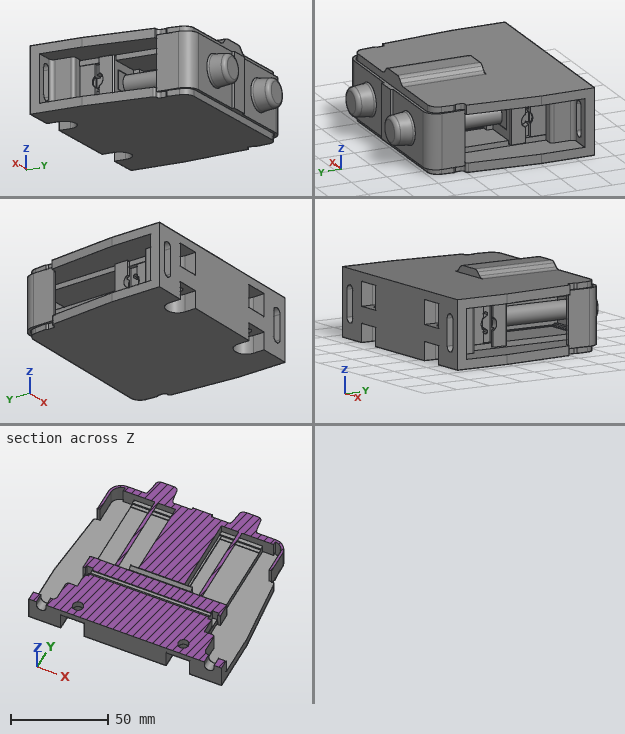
import cadquery as cq
import math

width = 110.0
height = 37.0
mid_z = height / 2
straight_depth = 30.2

front_wall = 5.6
cavity_height = 26.6
cavity_bottom = mid_z - cavity_height / 2
cavity_top = mid_z + cavity_height / 2

cover_front = 71.1
cover_rear = 91.5
cover_half_width = 49.7
cover_wall = 1.6
cover_height = 30.6
cover_bottom = mid_z - cover_height / 2
cover_corner_radius = 7.5
tab_width = 11.2
tab_rear = 92.8

lip_rear = 89.0
lip_corner_radius = 5.7
shoulder_half_width = 51.4
notch_half_width = 48.1
notch_fillet = 1.6
floor_shoulder_fillet = 1.2
catch_half_width = 48.8
catch_front = 75.6
catch_rear = 76.8
taper = (width / 2 - shoulder_half_width) / (cover_front - straight_depth)

rail_top = 41.0
rail_front = 42.1
rail_flat = 11.2
rail_radius = 3.8
rail_slope = math.radians(45)

pocket_spacing = 60.1
pocket_width = 13.3
pocket_radius = pocket_width / 2
upper_pocket_bottom = 19.0
upper_pocket_height = 13.1
lower_pocket_height = 10.1
bolt_hole_diameter = 5.5
slot_spacing = 95.7
slot_width = 5.4
slot_height = 20.0

block_half_width = 42.4
block_rear = 19.0
block_corner_radius = 1.8
block_root_fillet = 2.3

core_half_width = 36.6
core_flange = 3.0
core_gap = 0.7
core_top = cavity_top - core_gap
core_rear = cover_rear - cover_wall
chamber_bottom = cavity_bottom + core_flange
chamber_top = core_top - core_flange
chamber_rear = 87.8
chamber_half_width = 13.2
web_half_width = 34.1
vent_wall_half_width = 17.6
web_rear = 43.9
rear_ledges = [(83.6, 0.3), (85.6, 1.2)]
sill_width = 1.1
sill_height = 0.5
back_half_width = 42.9
plate_rear = 27.8
plate_inset = 0.3

screw_spacing = 47.7
screw_diameter = 10.2
clamp_front = 31.8
clamp_rear = 40.4
clamp_half_width = 39.2
clamp_height = 24.2
clamp_plate = 1.5
clamp_body_front = 33.3
clamp_edge_chamfer = 0.7
wire_hole_floor = 35.2
wire_hole_y = 30.2
wire_hole_diameter = 7.7

knob_rear = 101.8
knob_base_radius = 9.1
knob_lower_radius = 8.7
knob_upper_radius = 7.9
knob_flat_radius = 5.9
knob_skirt_y = 92.6
knob_round_y = 99.2

vent_y = 41.9
vent_width = 3.3
vent_peak = 6.8
gap_window = [
    (clamp_front, 4.2),
    (clamp_front, 5.3),
    (30.5, 5.8),
    (plate_rear, 4.2),
    (plate_rear, 2.9),
    (29.3, 2.4),
]


def box(x0, x1, y0, y1, z0, z1):
    """Axis-aligned block between two opposite corners."""
    return cq.Workplane("XY").box(x1 - x0, y1 - y0, z1 - z0, centered=False).translate((x0, y0, z0))


def wide_box(half_width, y0, y1, z0, z1):
    """Block that is symmetric about the YZ plane."""
    return box(-half_width, half_width, y0, y1, z0, z1)


def both_sides(shape):
    """The shape together with its mirror image across the YZ plane."""
    return shape.union(shape.mirror("YZ"))


def housing():
    catch_taper_end = catch_half_width - taper * (lip_rear - catch_rear)
    half = (
        cq.Workplane("XY")
        .moveTo(0, 0)
        .lineTo(width / 2, 0)
        .lineTo(width / 2, straight_depth)
        .lineTo(shoulder_half_width, cover_front)
        .lineTo(notch_half_width + notch_fillet, cover_front)
        .radiusArc((notch_half_width, cover_front + notch_fillet), notch_fillet)
        .lineTo(notch_half_width, catch_front)
        .lineTo(catch_half_width, catch_rear)
        .lineTo(catch_taper_end, lip_rear)
        .lineTo(0, lip_rear)
        .close()
        .extrude(height)
    )
    rear_corner = cq.selectors.NearestToPointSelector((catch_taper_end, lip_rear, mid_z))
    half = half.edges("|Z").edges(rear_corner).fillet(lip_corner_radius)
    cavity = wide_box(width, front_wall, cover_rear, cavity_bottom, cavity_top)
    shell = both_sides(half).cut(cavity)
    for side in (-1, 1):
        shoulder = (side * shoulder_half_width, cover_front, cavity_bottom / 2)
        shell = shell.edges(cq.selectors.NearestToPointSelector(shoulder)).fillet(floor_shoulder_fillet)
    return shell


def rail():
    bend_x = rail_radius * math.sin(rail_slope)
    bend_z = rail_radius * (1 - math.cos(rail_slope))
    flank_z = rail_top - height - 2 * bend_z
    shoulder_x = rail_flat / 2 + bend_x
    toe_x = shoulder_x + flank_z / math.tan(rail_slope)
    foot_x = toe_x + bend_x
    profile = (
        cq.Workplane("XZ")
        .moveTo(-rail_flat / 2, rail_top)
        .lineTo(rail_flat / 2, rail_top)
        .radiusArc((shoulder_x, rail_top - bend_z), rail_radius)
        .lineTo(toe_x, height + bend_z)
        .radiusArc((foot_x, height), -rail_radius)
        .lineTo(foot_x, cavity_top)
        .lineTo(-foot_x, cavity_top)
        .lineTo(-foot_x, height)
        .radiusArc((-toe_x, height + bend_z), -rail_radius)
        .lineTo(-shoulder_x, rail_top - bend_z)
        .radiusArc((-rail_flat / 2, rail_top), rail_radius)
        .close()
    )
    return profile.extrude(rail_front - lip_rear).translate((0, rail_front, 0))


def cover_shell(half_width, rear, radius):
    """U-shaped cover volume with rounded rear corners."""
    top = cover_bottom + cover_height
    return wide_box(half_width, cover_front, rear, cover_bottom, top).edges("|Z and >Y").fillet(radius)


def cover():
    outer = cover_shell(cover_half_width, cover_rear, cover_corner_radius)
    inner = cover_shell(cover_half_width - cover_wall, core_rear, cover_corner_radius - cover_wall)
    tab = wide_box(tab_width / 2, core_rear, tab_rear, cover_bottom, cover_bottom + cover_height)
    return outer.cut(inner).union(tab)


def pocket_block():
    """Block behind the front wall, rounded at the rear and blended into the wall."""
    block = wide_box(block_half_width, 0, block_rear, cavity_bottom, cavity_top)
    block = block.edges("|Z and >Y").fillet(block_corner_radius)
    root = box(
        block_half_width, block_half_width + block_root_fillet,
        front_wall, front_wall + block_root_fillet, cavity_bottom, cavity_top,
    )
    relief = (
        cq.Workplane("XY")
        .center(block_half_width + block_root_fillet, front_wall + block_root_fillet)
        .circle(block_root_fillet)
        .extrude(height)
    )
    return block.union(both_sides(root.cut(relief)))


def front_openings():
    """Two-level pockets with bolt holes, and the tall slots outside them."""
    x = pocket_spacing / 2

    def pocket(z, tall):
        straight = box(x - pocket_radius, x + pocket_radius, 0, pocket_radius, z, z + tall)
        round_end = cq.Workplane("XY").circle(pocket_radius).extrude(tall).translate((x, pocket_radius, z))
        return straight.union(round_end)

    bolt_hole = (
        cq.Workplane("XY").circle(bolt_hole_diameter / 2).extrude(upper_pocket_bottom)
        .translate((x, pocket_radius, 0))
    )
    slot = (
        cq.Workplane("XZ").slot2D(slot_height, slot_width, 90).extrude(-front_wall)
        .translate((slot_spacing / 2, 0, mid_z))
    )
    upper = pocket(upper_pocket_bottom, upper_pocket_height)
    lower = pocket(0, lower_pocket_height)
    return both_sides(upper.union(lower).union(bolt_hole).union(slot))


def web_windows():
    """Pointed vents beside the screw tips and slanted windows in front of the clamps."""
    half = vent_width / 2
    neck = vent_peak - half
    vent = [(vent_y - half, -neck), (vent_y, -vent_peak), (vent_y + half, -neck),
            (vent_y + half, neck), (vent_y, vent_peak), (vent_y - half, neck)]
    lower_gap = [(y, -z) for y, z in gap_window]
    plane = cq.Workplane("YZ", origin=(0, 0, mid_z))
    windows = plane.polyline(vent).close().extrude(web_half_width, both=True)
    for outline in (gap_window, lower_gap):
        windows = windows.union(plane.polyline(outline).close().extrude(web_half_width, both=True))
    return windows


def core():
    body = wide_box(core_half_width, block_rear, core_rear, cavity_bottom, core_top)
    neck = wide_box(chamber_half_width, web_rear, lip_rear, core_top, cavity_top)
    back = wide_box(back_half_width, chamber_rear, core_rear, cavity_bottom, cavity_top)
    low = chamber_bottom
    high = chamber_top
    screw_chamber = box(chamber_half_width, core_half_width, web_rear, chamber_rear, low, high)
    clamp_chamber = box(web_half_width, core_half_width, plate_rear, clamp_rear, low, high)
    vent_chamber = box(vent_wall_half_width, core_half_width, clamp_rear, web_rear, low, high)
    plate_recess = box(
        core_half_width - plate_inset, core_half_width,
        block_rear, plate_rear, low, high,
    )
    steps = box(
        chamber_half_width, chamber_half_width + sill_width,
        web_rear, chamber_rear, low, low + sill_height,
    )
    for front, tall in rear_ledges:
        ledge = box(
            chamber_half_width, core_half_width,
            front, chamber_rear, low, low + tall,
        )
        steps = steps.union(ledge)
    hollow = screw_chamber.union(clamp_chamber).union(vent_chamber).union(plate_recess)
    return body.cut(both_sides(hollow)).union(neck).union(back).union(both_sides(steps))


def clamps():
    low = mid_z - clamp_height / 2
    high = mid_z + clamp_height / 2
    plate_inner = clamp_half_width - clamp_plate
    plate = box(plate_inner, clamp_half_width, clamp_front, clamp_rear, low, high)
    plate = plate.edges(">X and >Y").chamfer(clamp_edge_chamfer)
    body = box(web_half_width, plate_inner, clamp_body_front, clamp_rear, low, high)
    return both_sides(plate.union(body))


def wire_holes():
    """Blind cross holes that notch the clamps and the front plates above the web."""
    hole = (
        cq.Workplane("YZ").circle(wire_hole_diameter / 2).extrude(clamp_half_width - wire_hole_floor)
        .translate((wire_hole_floor, wire_hole_y, mid_z))
    )
    return both_sides(hole)


def screws():
    screw = (
        cq.Workplane("XZ").circle(screw_diameter / 2).extrude(clamp_rear - cover_rear)
        .translate((screw_spacing / 2, clamp_rear, mid_z))
    )
    return both_sides(screw)


def knobs():
    diagonal = math.sqrt(0.5)
    crown_mid = (
        knob_flat_radius + (knob_upper_radius - knob_flat_radius) * diagonal,
        knob_round_y + (knob_rear - knob_round_y) * diagonal,
    )
    knob = (
        cq.Workplane("XY")
        .moveTo(0, core_rear)
        .lineTo(knob_base_radius, core_rear)
        .lineTo(knob_base_radius, cover_rear)
        .lineTo(knob_lower_radius, knob_skirt_y)
        .lineTo(knob_upper_radius, knob_round_y)
        .threePointArc(crown_mid, (knob_flat_radius, knob_rear))
        .lineTo(0, knob_rear)
        .close()
        .revolve(360, (0, 0, 0), (0, 1, 0))
        .translate((screw_spacing / 2, 0, mid_z))
    )
    return both_sides(knob)


inside = core().union(clamps()).cut(wire_holes()).cut(web_windows()).union(screws())
result = housing().union(rail()).union(pocket_block()).cut(front_openings())
result = result.union(inside).union(cover()).union(knobs())